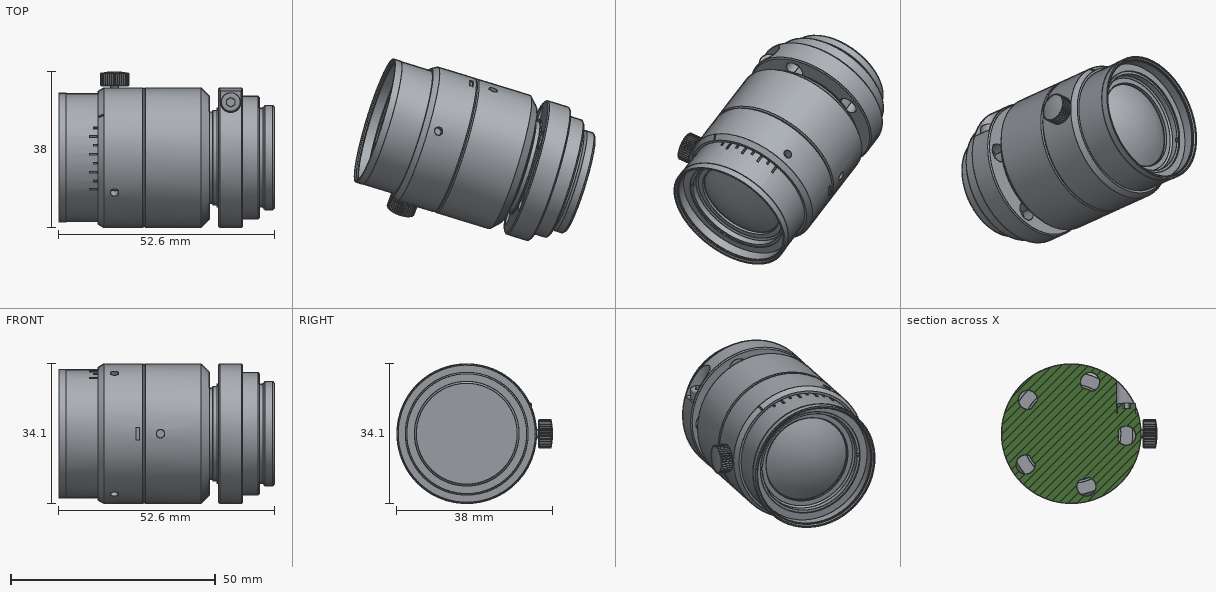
import cadquery as cq
import math

LENGTH = 52.6

RIM_R = 15.75
SCALE_R = 31.3 / 2
BODY_R = 17.05
BODY_FRONT_R = 16.2
BODY_REAR_R = 30.0 / 2
GROOVE_DEPTH = 0.25
NECK_R = 22.3 / 2
NECK_STEP_R = 23.1 / 2
COLLAR_R = 24.2 / 2
BOSS_R = 30.0 / 2
UNDERCUT_R = 24.2 / 2
MOUNT_R = 12.8

RIM_END = 1.75
BODY_START = 9.6
BEVEL_END = 11.0
GROOVE_X = 20.8
GROOVE_HALF_WIDTH = 0.35
TAPER_START = 34.65
BODY_END = 36.7
NECK_STEP_X = 37.45
COLLAR_X = 38.6
RING_START = 38.95
RING_END = 44.8
BOSS_END = 48.95
MOUNT_CONE_START = 49.75
MOUNT_START = 50.35
NECK_CHAMFER = 0.15
RING_CHAMFER = 0.3
BOSS_CHAMFER = 0.35
MOUNT_CHAMFER = 0.45

BORE_R = 14.9
BORE_LAND_R = 15.05
BORE_LAND_END = 0.7
BORE_CHAMFER = 0.3
BORE_DEPTH = 3.15
RETAINER_R = 26.2 / 2
RETAINER_FACE_X = 3.5
RETAINER_BORE_R = 12.45
SEAT_CONE_X = 5.0
SEAT_R = 24.0 / 2
SEAT_X = 5.35
LENS_RECESS_R = 21.5 / 2
LENS_R = 21.15 / 2
LENS_EDGE_X = 6.05
LENS_SAG = 3.0
SPANNER_SLOT_WIDTH = 0.8
SPANNER_SLOT_DEPTH = 0.5
SPANNER_SLOT_LENGTH = 1.05

SCREW_X = 13.55
SCREW_HOLE_D = 2.0
SCREW_HOLE_DEPTH = 2.65
SCREW_ANGLES = (120, 240)

DIMPLE_X = 24.8
DIMPLE_D = 2.05
DIMPLE_DEPTH = 1.6
SLOT_X = 19.2
SLOT_WIDTH = 0.85
SLOT_LENGTH = 3.0
SLOT_DEPTH = 0.4

THUMB_NECK_D = 2.05
THUMB_R = 3.45
KNURL_DEPTH = 0.2
KNURL_COUNT = 36
THUMB_BOTTOM = 17.45
THUMB_EDGE = 20.55
THUMB_TOP = 20.95
THUMB_CHAMFER = 0.3

CLAMP_X = 41.95
CLAMP_Y = 13.5
CLAMP_HEAD_R = 2.3
CLAMP_HEAD_HEIGHT = 2.5
CLAMP_HEAD_FILLET = 0.4
CLAMP_FLOOR_Z = 4.95
CLAMP_POCKET_R = 2.45
HEX_ACROSS_FLATS = 2.0
HEX_DEPTH = 1.3

RING_HOLE_COUNT = 5
RING_HOLE_CIRCLE_R = 13.4
RING_HOLE_R = 2.3
RING_HOLE_DEPTH = 3.15
RING_HOLE_FIRST_ANGLE = 70.0

TICK_COUNT = 8
TICK_STEP = 8.15
TICK_FIRST_ANGLE = -27.6
TICK_END = 9.3
TICK_LONG = 1.85
TICK_SHORT = 0.85
TICK_WIDTH = 0.4
TICK_DEPTH = 0.1
INDEX_WIDTH = 0.3
INDEX_ANGLE = -38.0


def turned_body():
    """Revolve the half section: outside from front to rear, then the front bore."""
    profile = (
        cq.Workplane("XY")
        .moveTo(0, BORE_LAND_R + BORE_CHAMFER)
        .lineTo(0, RIM_R)
        .lineTo(RIM_END, RIM_R)
        .lineTo(RIM_END, SCALE_R)
        .lineTo(BODY_START, SCALE_R)
        .lineTo(BODY_START, BODY_FRONT_R)
        .lineTo(BEVEL_END, BODY_R)
        .lineTo(GROOVE_X - GROOVE_HALF_WIDTH, BODY_R)
        .lineTo(GROOVE_X, BODY_R - GROOVE_DEPTH)
        .lineTo(GROOVE_X + GROOVE_HALF_WIDTH, BODY_R)
        .lineTo(TAPER_START, BODY_R)
        .lineTo(BODY_END, BODY_REAR_R)
        .lineTo(BODY_END, NECK_R)
        .lineTo(NECK_STEP_X, NECK_R)
        .lineTo(NECK_STEP_X + NECK_CHAMFER, NECK_STEP_R)
        .lineTo(COLLAR_X, NECK_STEP_R)
        .lineTo(COLLAR_X, COLLAR_R)
        .lineTo(RING_START, COLLAR_R)
        .lineTo(RING_START, BODY_R - RING_CHAMFER)
        .lineTo(RING_START + RING_CHAMFER, BODY_R)
        .lineTo(RING_END - RING_CHAMFER, BODY_R)
        .lineTo(RING_END, BODY_R - RING_CHAMFER)
        .lineTo(RING_END, BOSS_R)
        .lineTo(BOSS_END - BOSS_CHAMFER, BOSS_R)
        .lineTo(BOSS_END, BOSS_R - BOSS_CHAMFER)
        .lineTo(BOSS_END, UNDERCUT_R)
        .lineTo(MOUNT_CONE_START, UNDERCUT_R)
        .lineTo(MOUNT_START, MOUNT_R)
        .lineTo(LENGTH - MOUNT_CHAMFER, MOUNT_R)
        .lineTo(LENGTH, MOUNT_R - MOUNT_CHAMFER)
        .lineTo(LENGTH, 0)
        .lineTo(LENS_EDGE_X - LENS_SAG, 0)
    )
    lens_radius = (LENS_R**2 + LENS_SAG**2) / (2 * LENS_SAG)
    half_angle = math.asin(LENS_R / lens_radius) / 2
    arc_middle = (
        LENS_EDGE_X - LENS_SAG + lens_radius * (1 - math.cos(half_angle)),
        lens_radius * math.sin(half_angle),
    )
    return (
        profile.threePointArc(arc_middle, (LENS_EDGE_X, LENS_R))
        .lineTo(LENS_EDGE_X, LENS_RECESS_R)
        .lineTo(SEAT_X, LENS_RECESS_R)
        .lineTo(SEAT_X, SEAT_R)
        .lineTo(SEAT_CONE_X, RETAINER_BORE_R)
        .lineTo(RETAINER_FACE_X, RETAINER_BORE_R)
        .lineTo(RETAINER_FACE_X, RETAINER_R)
        .lineTo(BORE_DEPTH, RETAINER_R)
        .lineTo(BORE_DEPTH, BORE_R)
        .lineTo(BORE_LAND_END + BORE_LAND_R - BORE_R, BORE_R)
        .lineTo(BORE_LAND_END, BORE_LAND_R)
        .lineTo(BORE_CHAMFER, BORE_LAND_R)
        .close()
        .revolve(360, (0, 0, 0), (1, 0, 0))
    )


def about_axis(shape, angle):
    """Turn a shape about the optical axis, from +Y towards +Z."""
    return shape.rotate((0, 0, 0), (1, 0, 0), angle)


def radial_cylinder(x, diameter, inner_r, outer_r):
    """Cylinder pointing along +Y between two distances from the optical axis."""
    plane = cq.Workplane("XZ", origin=(x, inner_r, 0))
    return plane.circle(diameter / 2).extrude(inner_r - outer_r)


def spanner_slots():
    """Two opposite slots across the bore edge of the lens retainer."""
    slots = cq.Workplane("XY")
    for side in (-1, 1):
        slot = cq.Workplane("XY").box(SPANNER_SLOT_DEPTH, SPANNER_SLOT_LENGTH, SPANNER_SLOT_WIDTH)
        slot_y = side * (RETAINER_R - SPANNER_SLOT_LENGTH / 2)
        slots = slots.add(slot.translate((RETAINER_FACE_X + SPANNER_SLOT_DEPTH / 2, slot_y, 0)))
    return slots.combine()


def index_slot():
    """Shallow rectangular slot on the -Y side of the body."""
    depth_center = BODY_R - SLOT_DEPTH / 2
    slot = cq.Workplane("XY").box(SLOT_WIDTH, SLOT_DEPTH, SLOT_LENGTH)
    return slot.translate((SLOT_X, -depth_center, 0))


def graduation(index):
    """One engraved tick; short and long ticks alternate around +Z."""
    length = TICK_LONG if index % 2 else TICK_SHORT
    tick = cq.Workplane("XY").box(length, TICK_WIDTH, 2 * TICK_DEPTH)
    tick = tick.translate((TICK_END - length / 2, 0, SCALE_R))
    return about_axis(tick, TICK_FIRST_ANGLE + index * TICK_STEP)


def bevel_index():
    """Index line engraved along the front bevel of the body."""
    run = BEVEL_END - BODY_START
    rise = BODY_R - BODY_FRONT_R
    line = cq.Workplane("XY").box(math.hypot(run, rise), INDEX_WIDTH, 2 * TICK_DEPTH)
    line = line.rotate((0, 0, 0), (0, 1, 0), -math.degrees(math.atan2(rise, run)))
    line = line.translate((BODY_START + run / 2, 0, BODY_FRONT_R + rise / 2))
    return about_axis(line, INDEX_ANGLE)


def ring_hole(index):
    """One blind counterbore along X, stopping short of the neck that runs through the ring."""
    hole = cq.Workplane("YZ", origin=(RING_START, RING_HOLE_CIRCLE_R, 0))
    hole = hole.circle(RING_HOLE_R).extrude(RING_HOLE_DEPTH)
    core = cq.Workplane("YZ", origin=(RING_START, 0, 0)).circle(NECK_STEP_R).extrude(RING_HOLE_DEPTH)
    hole = hole.cut(core)
    return about_axis(hole, RING_HOLE_FIRST_ANGLE + index * 360 / RING_HOLE_COUNT)


def clamp_pocket():
    """Flat seat for the clamp screw, round inside and open towards +Y and +Z."""
    height = BODY_R - CLAMP_FLOOR_Z
    width = 2 * CLAMP_POCKET_R
    seat = cq.Workplane("XY", origin=(CLAMP_X, CLAMP_Y, CLAMP_FLOOR_Z))
    seat = seat.circle(CLAMP_POCKET_R).extrude(height)
    opening = cq.Workplane("XY", origin=(CLAMP_X, CLAMP_Y, CLAMP_FLOOR_Z))
    opening = opening.box(width, BODY_R, height, centered=(True, False, False))
    return seat.union(opening)


def clamp_screw():
    """Socket head with a rounded top edge, standing on the pocket floor."""
    head = cq.Workplane("XY", origin=(CLAMP_X, CLAMP_Y, CLAMP_FLOOR_Z))
    head = head.circle(CLAMP_HEAD_R).extrude(CLAMP_HEAD_HEIGHT)
    head = head.faces(">Z").edges().fillet(CLAMP_HEAD_FILLET)
    across_corners = HEX_ACROSS_FLATS / math.cos(math.pi / 6)
    socket = cq.Workplane("XY").polygon(6, across_corners).extrude(HEX_DEPTH)
    socket = socket.rotate((0, 0, 0), (0, 0, 1), 90)
    socket_floor = CLAMP_FLOOR_Z + CLAMP_HEAD_HEIGHT - HEX_DEPTH
    return head.cut(socket.translate((CLAMP_X, CLAMP_Y, socket_floor)))


def thumb_screw():
    """Knurled, slightly domed head on a plain neck, pointing along +Y."""
    knurl = []
    for i in range(2 * KNURL_COUNT):
        radius = THUMB_R - KNURL_DEPTH * (i % 2)
        angle = math.pi * i / KNURL_COUNT
        knurl.append((radius * math.cos(angle), radius * math.sin(angle)))
    plane = cq.Workplane("XZ", origin=(SCREW_X, THUMB_BOTTOM, 0))
    knurled_bar = plane.polyline(knurl).close().extrude(THUMB_BOTTOM - THUMB_TOP)

    dome_height = THUMB_TOP - THUMB_EDGE
    dome_radius = (THUMB_R**2 + dome_height**2) / (2 * dome_height)
    middle_r = THUMB_R / 2
    dome_drop = dome_radius - math.sqrt(dome_radius**2 - middle_r**2)
    envelope = (
        cq.Workplane("XY", origin=(SCREW_X, 0, 0))
        .moveTo(0, THUMB_BOTTOM)
        .lineTo(THUMB_R - THUMB_CHAMFER, THUMB_BOTTOM)
        .lineTo(THUMB_R, THUMB_BOTTOM + THUMB_CHAMFER)
        .lineTo(THUMB_R, THUMB_EDGE)
        .threePointArc((middle_r, THUMB_TOP - dome_drop), (0, THUMB_TOP))
        .close()
        .revolve(360, (0, 0, 0), (0, 1, 0))
    )
    neck_start = BODY_R - SCREW_HOLE_DEPTH
    neck = radial_cylinder(SCREW_X, THUMB_NECK_D, neck_start, THUMB_BOTTOM + THUMB_CHAMFER)
    return knurled_bar.intersect(envelope).union(neck)


lens = turned_body().cut(spanner_slots())

screw_hole = radial_cylinder(SCREW_X, SCREW_HOLE_D, BODY_R - SCREW_HOLE_DEPTH, BODY_R)
for angle in SCREW_ANGLES:
    lens = lens.cut(about_axis(screw_hole, angle))

dimple = radial_cylinder(DIMPLE_X, DIMPLE_D, BODY_R - DIMPLE_DEPTH, BODY_R)
lens = lens.cut(about_axis(dimple, 180)).cut(index_slot())

for i in range(TICK_COUNT):
    lens = lens.cut(graduation(i))
lens = lens.cut(bevel_index())

for i in range(RING_HOLE_COUNT):
    lens = lens.cut(ring_hole(i))

lens = lens.cut(clamp_pocket()).union(clamp_screw())
result = lens.union(thumb_screw())